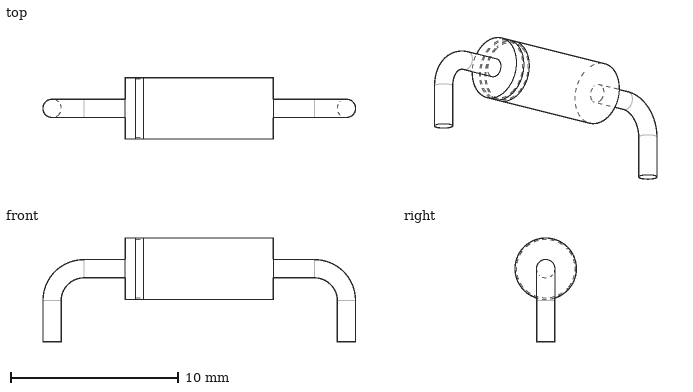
import cadquery as cq

overall_length = 18.72
overall_height = 6.22

housing_diameter = 3.69
housing_length = 8.87
housing_radius = housing_diameter / 2
housing_end = housing_length / 2

band_offset = 0.64
band_width = 0.47
band_depth = 0.1
band_start = band_offset - housing_end

lead_diameter = 1.1
bend_radius = 1.91
leg_x = (overall_length - lead_diameter) / 2
leg_bottom = housing_radius - overall_height


def make_band():
    """Ring whose outer face is level with the housing surface."""
    return (
        cq.Workplane("YZ", origin=(band_start, 0, 0))
        .circle(housing_radius)
        .circle(housing_radius - band_depth)
        .extrude(band_width)
    )


def make_housing(band):
    """Solid cylinder with a groove that the band fills."""
    cylinder = (
        cq.Workplane("YZ", origin=(-housing_end, 0, 0))
        .circle(housing_radius)
        .extrude(housing_length)
    )
    return cylinder.cut(band)


def make_lead(side):
    """Round wire from a housing end face, bent down; side is -1 or +1 along X."""
    bend_start = (side * (leg_x - bend_radius), 0)
    bend_end = (side * leg_x, -bend_radius)
    centreline = (
        cq.Workplane("XZ")
        .moveTo(side * housing_end, 0)
        .lineTo(*bend_start)
        .tangentArcPoint(bend_end, relative=False)
        .lineTo(side * leg_x, leg_bottom)
    )
    return (
        cq.Workplane("YZ", origin=(side * housing_end, 0, 0))
        .circle(lead_diameter / 2)
        .sweep(centreline)
    )


band = make_band()
housing = make_housing(band)
leads = [make_lead(side) for side in (-1, 1)]

result = cq.Compound.makeCompound([housing.val(), band.val(), *[lead.val() for lead in leads]])